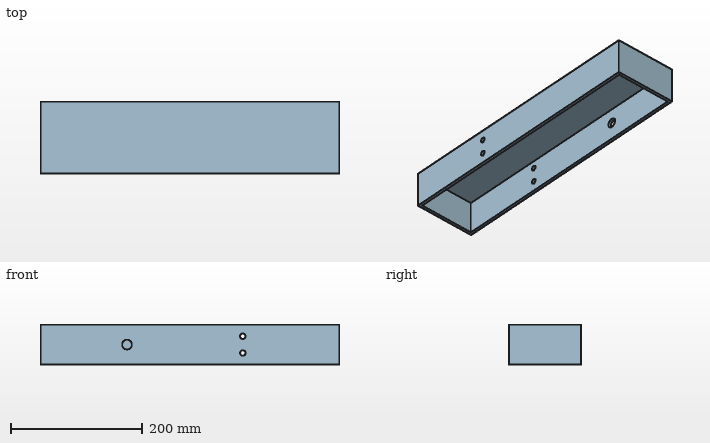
import cadquery as cq

LENGTH = 455.0
WIDTH = 110.0
HEIGHT = 61.0

WALL = 5.0

CABLE_HOLE_DIAMETER = 15.0
CABLE_HOLE_X = 131.5

CROSS_HOLE_DIAMETER = 8.0
CROSS_HOLE_X = 308.0
CROSS_HOLE_SPACING = 25.5

MID_HEIGHT = HEIGHT / 2


def enclosure():
    """Box with one lower corner at the origin, hollowed from below."""
    outer = cq.Workplane("XY").box(LENGTH, WIDTH, HEIGHT, centered=False)
    return outer.faces("<Z").shell(-WALL, kind="intersection")


def hole_along_y(x, z, diameter, depth):
    """Cylinder that enters at the front face and runs toward +Y."""
    front_plane = cq.Workplane("XZ")
    return front_plane.center(x, z).circle(diameter / 2).extrude(-depth)


def drill_cable_hole(body):
    return body.cut(hole_along_y(CABLE_HOLE_X, MID_HEIGHT, CABLE_HOLE_DIAMETER, WALL))


def drill_cross_holes(body):
    for side in (-1, 1):
        z = MID_HEIGHT + side * CROSS_HOLE_SPACING / 2
        body = body.cut(hole_along_y(CROSS_HOLE_X, z, CROSS_HOLE_DIAMETER, WIDTH))
    return body


result = drill_cross_holes(drill_cable_hole(enclosure()))